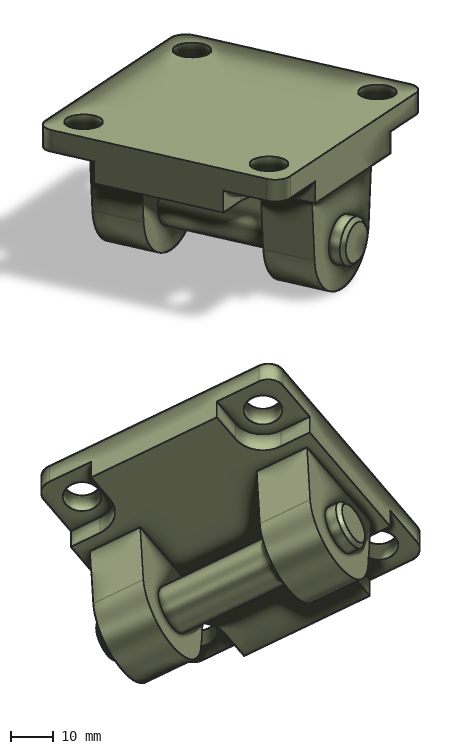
import cadquery as cq
import math

plate_side = 66.0
layer_thickness = 5.5
plate_corner_radius = 4.0
hole_diameter = 9.0
hole_inset = 8.0
notch_radius = 7.6

lug_tip_radius = 12.5
lug_outer_x = 30.0
lug_inner_x = 16.1
lug_root_half_width = 13.8
overall_height = 39.5
pin_length = 68.0
pin_diameter = 12.0
pin_chamfer = 1.0

plate_top_z = overall_height - lug_tip_radius
flange_bottom_z = plate_top_z - layer_thickness
plate_bottom_z = flange_bottom_z - layer_thickness
hole_spacing = plate_side - 2 * hole_inset
notch_size = hole_inset + notch_radius


def make_flange():
    """Square flange with rounded vertical corners."""
    return (
        cq.Workplane("XY", origin=(0, 0, flange_bottom_z))
        .rect(plate_side, plate_side)
        .extrude(layer_thickness)
        .edges("|Z")
        .fillet(plate_corner_radius)
    )


def make_lower_layer():
    """Square layer with each corner notched concentrically with its hole."""
    layer = (
        cq.Workplane("XY", origin=(0, 0, plate_bottom_z))
        .rect(plate_side, plate_side)
        .extrude(layer_thickness)
    )
    notches = (
        cq.Workplane("XY", origin=(0, 0, plate_bottom_z))
        .rect(plate_side, plate_side, forConstruction=True)
        .vertices()
        .rect(2 * notch_size, 2 * notch_size)
        .extrude(layer_thickness)
        .edges("|Z")
        .fillet(notch_radius)
    )
    return layer.cut(notches)


def make_lug(start_x):
    """Tapered lug whose straight flanks run tangent into the round tip."""
    root_distance = math.hypot(lug_root_half_width, plate_bottom_z)
    root_angle = math.atan2(plate_bottom_z, lug_root_half_width)
    tangent_angle = root_angle - math.acos(lug_tip_radius / root_distance)
    tangent_y = lug_tip_radius * math.cos(tangent_angle)
    tangent_z = lug_tip_radius * math.sin(tangent_angle)
    return (
        cq.Workplane("YZ", origin=(start_x, 0, 0))
        .moveTo(-lug_root_half_width, plate_bottom_z)
        .lineTo(-tangent_y, tangent_z)
        .threePointArc((0, -lug_tip_radius), (tangent_y, tangent_z))
        .lineTo(lug_root_half_width, plate_bottom_z)
        .close()
        .extrude(lug_outer_x - lug_inner_x)
    )


def make_pin():
    """Full-length pin with chamfered ends."""
    return (
        cq.Workplane("YZ", origin=(-pin_length / 2, 0, 0))
        .circle(pin_diameter / 2)
        .extrude(pin_length)
        .faces("<X or >X")
        .chamfer(pin_chamfer)
    )


mounting_holes = (
    cq.Workplane("XY", origin=(0, 0, plate_bottom_z))
    .rect(hole_spacing, hole_spacing, forConstruction=True)
    .vertices()
    .circle(hole_diameter / 2)
    .extrude(2 * layer_thickness)
)

result = make_flange().union(make_lower_layer()).cut(mounting_holes)
for lug_start_x in (-lug_outer_x, lug_inner_x):
    result = result.union(make_lug(lug_start_x))
result = result.union(make_pin())